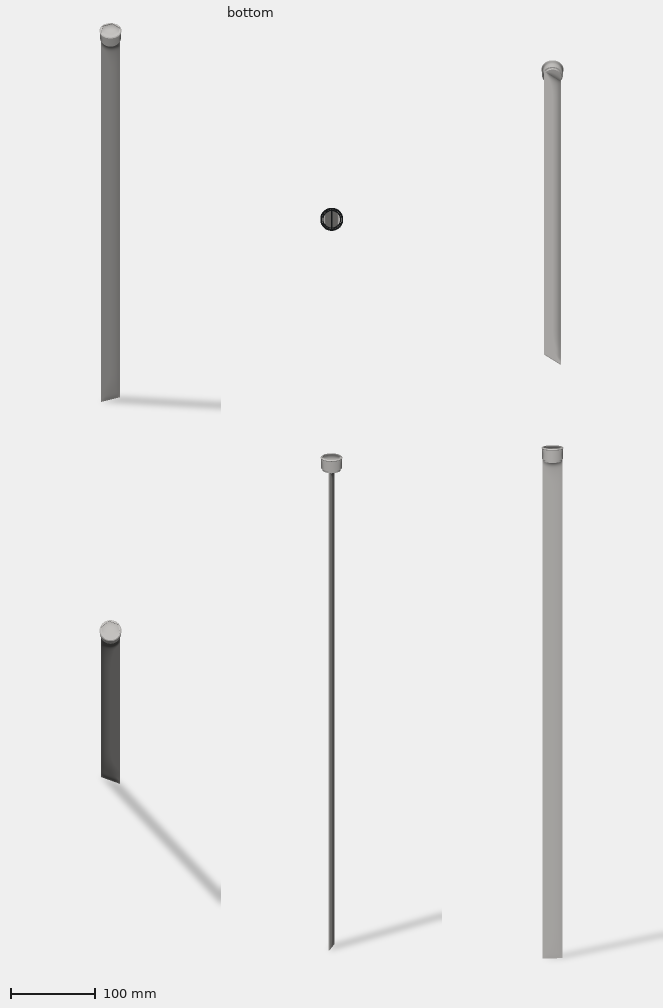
import cadquery as cq
import math

total_height = 614.0
top_z = total_height / 2
bottom_z = -total_height / 2

flange_diameter = 26.0
flange_top_diameter = 24.0
flange_thickness = 2.0
body_diameter = 24.5
body_length = 12.0
boss_diameter = 21.0
boss_length = 3.0

hex_across_flats = 20.5
hex_depth = 1.5
hex_sides = 6

seal_height = 2.0
seal_depth = 2.0
seal_bottom_margin = 2.0

blade_width = 24.0
blade_thickness = 1.0

rim_z = top_z - flange_thickness / 2
flange_bottom_z = top_z - flange_thickness
body_bottom_z = flange_bottom_z - body_length
boss_bottom_z = body_bottom_z - boss_length
seal_bottom_z = body_bottom_z + seal_bottom_margin
seal_inner_diameter = body_diameter - 2 * seal_depth
blade_length = body_bottom_z - bottom_z
hex_across_corners = hex_across_flats / math.cos(math.pi / hex_sides)
hex_turn = 180 / hex_sides


def plane_at(z):
    """Horizontal workplane at height z."""
    return cq.Workplane("XY").workplane(offset=z)


def make_seal():
    """Ring that fills the groove around the cap body."""
    return (
        plane_at(seal_bottom_z)
        .circle(body_diameter / 2)
        .circle(seal_inner_diameter / 2)
        .extrude(seal_height)
    )


def make_blade():
    """Strip from the underside of the cap body down to the bottom of the part."""
    return plane_at(bottom_z).rect(blade_thickness, blade_width).extrude(blade_length)


def make_cap_blank():
    """Solid of revolution with the flange, body and boss of the cap."""
    half_profile = [
        (0, top_z),
        (flange_top_diameter / 2, top_z),
        (flange_diameter / 2, rim_z),
        (body_diameter / 2, flange_bottom_z),
        (body_diameter / 2, body_bottom_z),
        (boss_diameter / 2, body_bottom_z),
        (boss_diameter / 2, boss_bottom_z),
        (0, boss_bottom_z),
    ]
    return cq.Workplane("XZ").polyline(half_profile).close().revolve(360, (0, 0, 0), (0, 1, 0))


def make_hex_recess():
    """Hexagonal prism to remove from the top of the cap."""
    return (
        plane_at(top_z - hex_depth)
        .polygon(hex_sides, hex_across_corners)
        .extrude(hex_depth)
        .rotate((0, 0, 0), (0, 0, 1), hex_turn)
    )


def make_cap(seal, blade):
    """Cap with its hexagonal recess, seal groove and blade slot."""
    return make_cap_blank().cut(make_hex_recess()).cut(seal).cut(blade)


seal = make_seal()
blade = make_blade()
cap = make_cap(seal, blade)

result = cq.Compound.makeCompound([cap.val(), seal.val(), blade.val()])